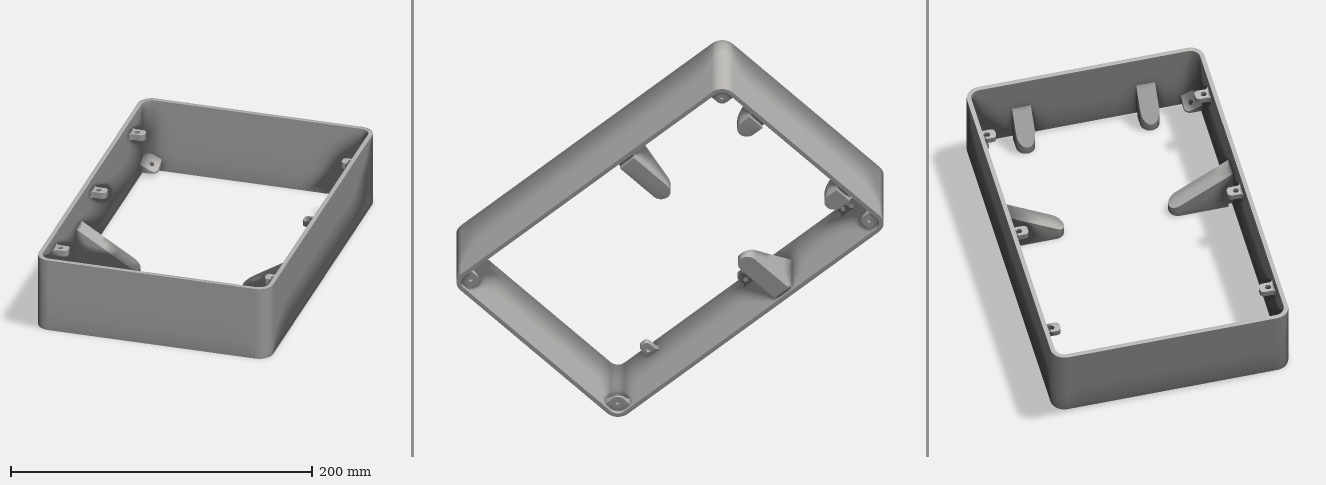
import cadquery as cq

LENGTH = 247.0
WIDTH = 162.5
HEIGHT = 51.9
WALL = 3.0
CORNER_RADIUS = 9.6
INNER_HALF_WIDTH = WIDTH / 2 - WALL
INNER_HALF_LENGTH = LENGTH / 2 - WALL

SEAT_HEIGHT = 3.0
SEAT_DEPTH = 3.0

BOSS_SIZE = 11.5
BOSS_TOP = 8.6
BOSS_SLOPE = 34.5
BOSS_FILLET = 4.5
BOSS_HOLE = 3.0
CORNER_DIAGONAL = 45.0

TAB_PITCH = 88.2
TAB_REACH = 10.1
TAB_WIDTH = 7.7
TAB_TOP = 43.7
TAB_THICKNESS = 4.2
TAB_TIP_FILLET = 2.7
TAB_ROOT_FILLET = 2.5
TAB_HOLE = 4.0
TAB_HOLE_SPACING = 148.2

RIB_WIDTH = 12.8
RIB_TIP_HEIGHT = 6.0
SIDE_RIB_REACH = 42.5
SIDE_RIB_HEIGHT = 32.0
SIDE_RIB_Y = -31.0
END_RIB_REACH = 17.8
END_RIB_HEIGHT = 27.2
END_RIB_X = 42.5


def rounded_block(width, length, radius):
    """Full-height block with rounded vertical edges."""
    return cq.Workplane("XY").rect(width, length).extrude(HEIGHT).edges("|Z").fillet(radius)


def corner_boss():
    """Boss in the +X +Y corner, raised above the seat."""
    left = INNER_HALF_WIDTH - BOSS_SIZE
    front = INNER_HALF_LENGTH - BOSS_SIZE
    overlap = BOSS_SIZE + WALL / 2
    block = (
        cq.Workplane("XY")
        .box(overlap, overlap, HEIGHT / 2, centered=False)
        .translate((left, front, SEAT_HEIGHT))
        .edges("|Z and <X and <Y")
        .fillet(BOSS_FILLET)
    )
    above_slope = (
        cq.Workplane("XY")
        .box(HEIGHT, HEIGHT, HEIGHT, centered=(True, True, False))
        .rotate((0, 0, 0), (0, 1, 0), -BOSS_SLOPE)
        .rotate((0, 0, 0), (0, 0, 1), CORNER_DIAGONAL)
        .translate((left + BOSS_SIZE / 2, front + BOSS_SIZE / 2, BOSS_TOP))
    )
    hole = (
        cq.Workplane("XY")
        .center(WIDTH / 2 - CORNER_RADIUS, LENGTH / 2 - CORNER_RADIUS)
        .circle(BOSS_HOLE / 2)
        .extrude(HEIGHT)
    )
    return block.intersect(outer).cut(above_slope).cut(hole)


def screw_tab(y):
    """Tab on the +X wall, flared where it meets the wall."""
    root = INNER_HALF_WIDTH
    tip = root - TAB_REACH
    half = TAB_WIDTH / 2
    flare = half + TAB_ROOT_FILLET
    return (
        cq.Workplane("XY", origin=(0, y, TAB_TOP - TAB_THICKNESS))
        .moveTo(root + WALL / 2, -flare)
        .lineTo(root, -flare)
        .radiusArc((root - TAB_ROOT_FILLET, -half), -TAB_ROOT_FILLET)
        .lineTo(tip + TAB_TIP_FILLET, -half)
        .radiusArc((tip, -half + TAB_TIP_FILLET), TAB_TIP_FILLET)
        .lineTo(tip, half - TAB_TIP_FILLET)
        .radiusArc((tip + TAB_TIP_FILLET, half), TAB_TIP_FILLET)
        .lineTo(root - TAB_ROOT_FILLET, half)
        .radiusArc((root, flare), -TAB_ROOT_FILLET)
        .lineTo(root + WALL / 2, flare)
        .close()
        .moveTo(TAB_HOLE_SPACING / 2, 0)
        .circle(TAB_HOLE / 2)
        .extrude(TAB_THICKNESS)
    )


def rib(reach, height):
    """Rib growing along +X from a wall face at x = 0, notched at its foot to clear the seat."""
    sunk = -WALL / 2
    tip_start = reach - RIB_WIDTH / 2
    side = (
        cq.Workplane("XZ")
        .moveTo(sunk, SEAT_HEIGHT)
        .lineTo(SEAT_DEPTH, SEAT_HEIGHT)
        .lineTo(SEAT_DEPTH, 0)
        .lineTo(reach, 0)
        .lineTo(reach, RIB_TIP_HEIGHT)
        .lineTo(0, height)
        .lineTo(sunk, height)
        .close()
        .extrude(RIB_WIDTH / 2, both=True)
    )
    plan = (
        cq.Workplane("XY")
        .moveTo(sunk, -RIB_WIDTH / 2)
        .lineTo(tip_start, -RIB_WIDTH / 2)
        .threePointArc((reach, 0), (tip_start, RIB_WIDTH / 2))
        .lineTo(sunk, RIB_WIDTH / 2)
        .close()
        .extrude(HEIGHT)
    )
    return side.intersect(plan)


outer = rounded_block(WIDTH, LENGTH, CORNER_RADIUS)
inner = rounded_block(2 * INNER_HALF_WIDTH, 2 * INNER_HALF_LENGTH, CORNER_RADIUS - WALL)
result = outer.cut(inner)

boss = corner_boss()
right_bosses = boss.union(boss.mirror("XZ"))
result = result.union(right_bosses).union(right_bosses.mirror("YZ"))

for y in (-TAB_PITCH, 0, TAB_PITCH):
    tab = screw_tab(y)
    result = result.union(tab).union(tab.mirror("YZ"))

side_rib = rib(SIDE_RIB_REACH, SIDE_RIB_HEIGHT).translate((-INNER_HALF_WIDTH, SIDE_RIB_Y, 0))
result = result.union(side_rib).union(side_rib.mirror("YZ"))

end_rib = rib(END_RIB_REACH, END_RIB_HEIGHT).rotate((0, 0, 0), (0, 0, 1), 90)
for x in (-END_RIB_X, END_RIB_X):
    result = result.union(end_rib.translate((x, -INNER_HALF_LENGTH, 0)))